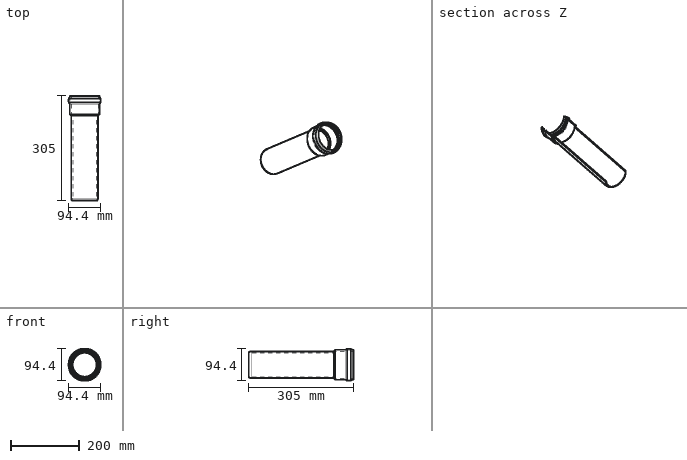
import cadquery as cq
import math

total_length = 305.0

pipe_radius = 78.0 / 2
bore_radius = 69.0 / 2
spigot_round_length = 6.8
spigot_round_radius = 10.8

socket_radius = 87.6 / 2
socket_bore_radius = 78.5 / 2
lip_round_radius = 2.8
shoulder_start_setback = 58.0
shoulder_end_setback = 53.2

bead_radius = 94.4 / 2
bead_setback = 13.8
crown_half_width = 5.1
flank_half_width = 7.8
crown_edge_slope = math.radians(18)
flank_edge_slope = math.radians(40)

groove_radius = 86.7 / 2
groove_width = 2 * crown_half_width

bead_y = total_length - bead_setback
shoulder_start_y = total_length - shoulder_start_setback
shoulder_end_y = total_length - shoulder_end_setback


def bead_half_points():
    """Points of one bead half as (radius, distance from the bead centre), crown to foot."""
    crown_arc = crown_half_width / math.sin(crown_edge_slope)
    flank_arc = (flank_half_width - crown_half_width) / (
        math.sin(flank_edge_slope) - math.sin(crown_edge_slope)
    )
    flank_mid_slope = (crown_edge_slope + flank_edge_slope) / 2
    foot_mid_slope = flank_edge_slope / 2

    crown_edge_radius = bead_radius - crown_arc * (1 - math.cos(crown_edge_slope))
    flank_centre_radius = crown_edge_radius - flank_arc * math.cos(crown_edge_slope)
    flank_centre_offset = crown_half_width - flank_arc * math.sin(crown_edge_slope)
    flank_edge_radius = flank_centre_radius + flank_arc * math.cos(flank_edge_slope)

    foot_arc = (flank_edge_radius - socket_radius) / (1 - math.cos(flank_edge_slope))
    foot_half_width = flank_half_width + foot_arc * math.sin(flank_edge_slope)

    return [
        (crown_edge_radius, crown_half_width),
        (
            flank_centre_radius + flank_arc * math.cos(flank_mid_slope),
            flank_centre_offset + flank_arc * math.sin(flank_mid_slope),
        ),
        (flank_edge_radius, flank_half_width),
        (
            socket_radius + foot_arc * (1 - math.cos(foot_mid_slope)),
            foot_half_width - foot_arc * math.sin(foot_mid_slope),
        ),
        (socket_radius, foot_half_width),
    ]


def add_bead(profile):
    """Extend a (radius, y) outline along +Y over the whole bead."""
    half = bead_half_points()
    before = [(radius, bead_y - offset) for radius, offset in half]
    after = [(radius, bead_y + offset) for radius, offset in half]
    crown_start, before_flank_mid, before_flank_edge, before_foot_mid, bead_start = before
    crown_end, after_flank_mid, after_flank_edge, after_foot_mid, bead_end = after
    return (
        profile.lineTo(*bead_start)
        .threePointArc(before_foot_mid, before_flank_edge)
        .threePointArc(before_flank_mid, crown_start)
        .threePointArc((bead_radius, bead_y), crown_end)
        .threePointArc(after_flank_mid, after_flank_edge)
        .threePointArc(after_foot_mid, bead_end)
    )


def revolve_about_y(profile):
    return profile.close().revolve(360, (0, 0, 0), (0, 1, 0))


def outer_body():
    end_slope = math.asin(spigot_round_length / spigot_round_radius)
    spigot_centre_radius = pipe_radius - spigot_round_radius
    spigot_end_radius = spigot_centre_radius + spigot_round_radius * math.cos(end_slope)
    spigot_mid = (
        spigot_centre_radius + spigot_round_radius * math.cos(end_slope / 2),
        spigot_round_length - spigot_round_radius * math.sin(end_slope / 2),
    )
    lip_mid = (
        socket_radius - lip_round_radius * (1 - math.sqrt(0.5)),
        total_length - lip_round_radius * (1 - math.sqrt(0.5)),
    )

    profile = (
        cq.Workplane("XY")
        .lineTo(spigot_end_radius, 0)
        .threePointArc(spigot_mid, (pipe_radius, spigot_round_length))
        .lineTo(pipe_radius, shoulder_start_y)
        .lineTo(socket_radius, shoulder_end_y)
    )
    profile = (
        add_bead(profile)
        .lineTo(socket_radius, total_length - lip_round_radius)
        .threePointArc(lip_mid, (socket_radius - lip_round_radius, total_length))
        .lineTo(0, total_length)
    )
    return revolve_about_y(profile)


def inner_passage():
    """Pipe bore, conical step and socket bore."""
    profile = (
        cq.Workplane("XY")
        .lineTo(bore_radius, 0)
        .lineTo(bore_radius, shoulder_start_y)
        .lineTo(socket_bore_radius, shoulder_end_y)
        .lineTo(socket_bore_radius, total_length)
        .lineTo(0, total_length)
    )
    return revolve_about_y(profile)


def gasket_groove():
    profile = cq.Workplane("XY").center(groove_radius / 2, bead_y).rect(groove_radius, groove_width)
    return profile.revolve(360, (-groove_radius / 2, 0, 0), (-groove_radius / 2, 1, 0))


result = outer_body().cut(inner_passage()).cut(gasket_groove())